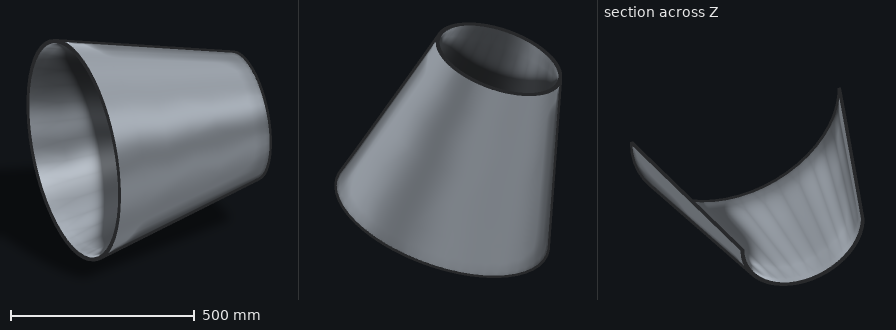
import cadquery as cq

wide_diameter = 609.5
narrow_diameter = 355.5
length = 508.0
wall = 5.0

wide_radius = wide_diameter / 2
narrow_radius = narrow_diameter / 2

wall_section = (
    cq.Workplane("XY")
    .moveTo(wide_radius - wall, 0)
    .lineTo(wide_radius, 0)
    .lineTo(narrow_radius, length)
    .lineTo(narrow_radius - wall, length)
    .close()
)

result = wall_section.revolve(360, (0, 0, 0), (0, 1, 0))